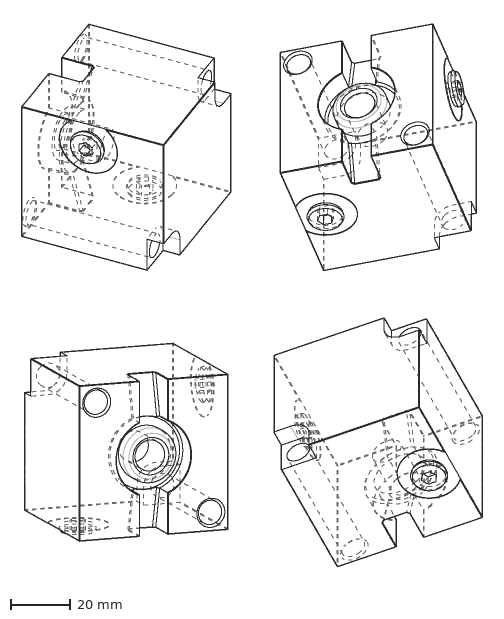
import cadquery as cq
import math

length = 53.2
overall_side = 56.0
plug_height = 2.2
side = overall_side - plug_height
half = side / 2
edge_chamfer = 0.2

slot_width = 10.0
slot_depth_at_ends = 12.45
slot_floor_tilt = 15.0
floor_corner_chamfer = 0.85

pocket_diameter = 26.9
pocket_depth = 8.75
port_diameter = 19.0
port_setback = 2.75
port_rim_fillet = 1.55
bore_diameter = 10.7
bore_depth = 16.8
bore_chamfer = 1.1

hole_offset = 20.6
hole_diameter = 8.4
hole_chamfer = 0.85
recess_depth = 6.35
recess_radius = 6.7

plug_x = 25.05
plug_edge_distance = 8.8
plug_diameter = 12.55
plug_base_diameter = 11.75
plug_tip_diameter = 11.35
plug_rim_setback = 1.25
seat_diameter = 21.6
seat_depth = 0.2
hex_across_flats = 4.8
hex_depth = 3.9


def make_block():
    """Plain square bar."""
    return cq.Workplane("YZ").rect(side, side).extrude(length)


def cone(depth, start, end_depth, end):
    """Solid of revolution about the X axis between two depths and radii."""
    outline = [(depth, 0), (depth, start), (end_depth, end), (end_depth, 0)]
    return cq.Workplane("XY").polyline(outline).close().revolve(360, (0, 0, 0), (1, 0, 0))


def cut_slot(body):
    """Slot with two tilted floors that meet mid-height; the floor corners are chamfered."""
    depth_in_middle = slot_depth_at_ends - half * math.tan(math.radians(slot_floor_tilt))
    side_profile = [
        (0, half),
        (slot_depth_at_ends, half),
        (depth_in_middle, 0),
        (slot_depth_at_ends, -half),
        (0, -half),
    ]
    slot = (
        cq.Workplane("XZ")
        .polyline(side_profile)
        .close()
        .extrude(slot_width / 2, both=True)
        .edges("not (|X or |Y or |Z)")
        .chamfer(floor_corner_chamfer)
    )
    return body.cut(slot)


def chamfer_outer_edges(body):
    """Break the block edges and the edges where the slot opens."""
    return body.faces("<X or >X or <Y or >Y or <Z or >Z").edges().chamfer(edge_chamfer)


def cut_pocket(body):
    """Round pocket with a chamfered floor corner and a chamfered mouth."""
    radius = pocket_diameter / 2
    pocket = (
        cq.Workplane("YZ")
        .circle(radius)
        .extrude(pocket_depth)
        .faces(">X")
        .chamfer(floor_corner_chamfer)
    )
    mouth = cone(0, radius + edge_chamfer, edge_chamfer, radius)
    return body.cut(pocket).cut(mouth)


def add_port(body):
    """Raised round port on the pocket floor, with a chamfered blind bore."""
    port = (
        cq.Workplane("YZ", origin=(port_setback, 0, 0))
        .circle(port_diameter / 2)
        .extrude(pocket_depth - port_setback)
        .faces("<X")
        .edges()
        .fillet(port_rim_fillet)
    )
    bore_radius = bore_diameter / 2
    bore = cone(port_setback, bore_radius, port_setback + bore_depth, bore_radius)
    bore_mouth = cone(port_setback, bore_radius + bore_chamfer, port_setback + bore_chamfer, bore_radius)
    return body.union(port).cut(bore).cut(bore_mouth)


def cut_corner_hole(body, sign):
    """Chamfered through hole and the recess behind it; sign picks the corner.

    The recess square reaches past the block, so only its inner corner is rounded.
    """
    radius = hole_diameter / 2
    centre = (0, sign * hole_offset, sign * hole_offset)
    hole = cone(0, radius, length, radius).translate(centre)
    mouth = cone(0, radius + hole_chamfer, hole_chamfer, radius).translate(centre)
    middle = sign * (hole_offset - recess_radius + half / 2)
    recess = (
        cq.Workplane("YZ", origin=(length - recess_depth, 0, 0))
        .center(middle, middle)
        .rect(half, half)
        .extrude(recess_depth)
        .edges("|X")
        .fillet(recess_radius)
    )
    return body.cut(hole).cut(mouth).cut(recess)


def add_plug(body, face):
    """Seat, double-cone plug head and hex socket; face is a plane looking out of the block."""
    seat = cq.Workplane(face).circle(seat_diameter / 2).extrude(-seat_depth)
    base_point = face.toWorldCoords((0, 0, -seat_depth))
    rim_point = face.toWorldCoords((0, 0, plug_height - plug_rim_setback))
    base_radius = plug_base_diameter / 2
    rim_radius = plug_diameter / 2
    tip_radius = plug_tip_diameter / 2
    base_height = plug_height - plug_rim_setback + seat_depth
    base_cone = cq.Solid.makeCone(base_radius, rim_radius, base_height, base_point, face.zDir)
    tip_cone = cq.Solid.makeCone(rim_radius, tip_radius, plug_rim_setback, rim_point, face.zDir)
    hex_socket = (
        cq.Workplane(face)
        .transformed(offset=(0, 0, plug_height))
        .polygon(6, hex_across_flats, circumscribed=True)
        .extrude(-hex_depth)
    )
    return body.cut(seat).union(cq.Workplane(base_cone.fuse(tip_cone))).cut(hex_socket)


plug_offset = half - plug_edge_distance
plug_faces = [
    cq.Plane(origin=(plug_x, -half, plug_offset), xDir=(1, 0, 0), normal=(0, -1, 0)),
    cq.Plane(origin=(plug_x, plug_offset, -half), xDir=(1, 0, 0), normal=(0, 0, -1)),
]

body = make_block()
body = cut_slot(body)
body = chamfer_outer_edges(body)
body = cut_pocket(body)
body = add_port(body)
for sign in (1, -1):
    body = cut_corner_hole(body, sign)
for face in plug_faces:
    body = add_plug(body, face)

result = body